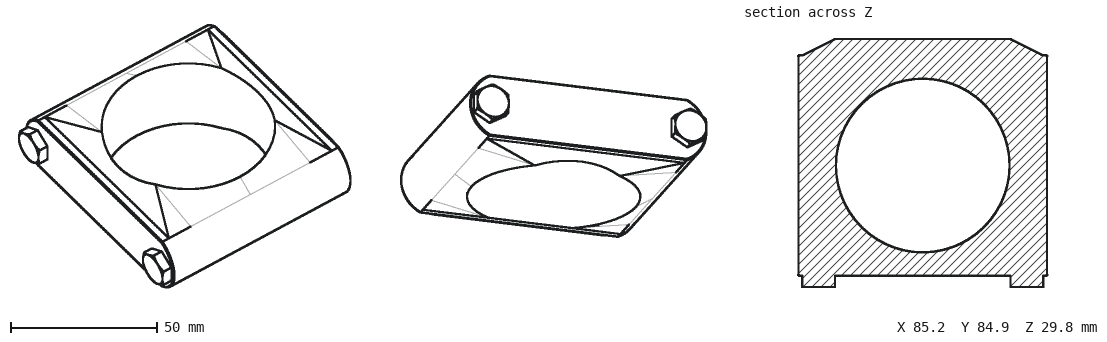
import cadquery as cq
import math

half_width = 42.6
half_length = 37.8
half_plate = 11.1
half_height = 14.9
bolt_x = 35.6
edge_chamfer = 0.3

bore_radius = 29.7
collar_y = 34.7
collar_top_y = 25.4
collar_top_x = math.sqrt(bore_radius**2 - collar_top_y**2)

head_flats = 11.25
head_height = 3.8
head_taper_angle = 30.0

ridge_x = 30.1
ridge_radius = half_plate
ridge_y = 43.3


def make_body():
    """Flat-sided bar with round ends, running along Y."""
    return (
        cq.Workplane("XZ", origin=(0, half_length, 0))
        .moveTo(-bolt_x, half_plate)
        .lineTo(bolt_x, half_plate)
        .threePointArc((half_width, 0), (bolt_x, -half_plate))
        .lineTo(-bolt_x, -half_plate)
        .threePointArc((-half_width, 0), (-bolt_x, half_plate))
        .close()
        .extrude(2 * half_length)
        .faces("<Y or >Y")
        .chamfer(edge_chamfer)
    )


def polygon_face(points):
    return cq.Face.makeFromWires(cq.Wire.makePolygon(points, close=True))


def collar_quarter_side(side, end):
    """Faces of one collar quarter, and its arc along the bore."""
    crest = cq.Vector(side * collar_top_x, end * collar_top_y, half_height)
    middle = cq.Vector(side * bore_radius, 0, half_height)
    arc_angle = math.atan2(collar_top_y, collar_top_x) / 2
    arc_middle = cq.Vector(
        side * bore_radius * math.cos(arc_angle),
        end * bore_radius * math.sin(arc_angle),
        half_height,
    )
    foot_middle = cq.Vector(side * bolt_x, 0, half_plate)
    foot_crest = cq.Vector(side * bolt_x, end * collar_top_y, half_plate)
    foot_corner = cq.Vector(side * bolt_x, end * collar_y, half_plate)
    arc = cq.Edge.makeThreePointArc(middle, arc_middle, crest)
    foot = cq.Edge.makeLine(foot_middle, foot_crest)
    blend = cq.Face.makeRuledSurface(arc, foot)
    corner = polygon_face([foot_crest, foot_corner, crest])
    return [blend, corner], arc


def make_collar():
    """Upper collar: sloping ends, flat corners and ruled blends from the sides to the bore circle."""
    faces = []
    top_edges = []
    for side in (-1, 1):
        for end in (-1, 1):
            quarter_faces, arc = collar_quarter_side(side, end)
            faces += quarter_faces
            top_edges.append(arc)
    for end in (-1, 1):
        crests = [cq.Vector(s * collar_top_x, end * collar_top_y, half_height) for s in (-1, 1)]
        corners = [cq.Vector(s * bolt_x, end * collar_y, half_plate) for s in (1, -1)]
        faces.append(polygon_face(crests + corners))
        top_edges.append(cq.Edge.makeLine(*crests))
    top_outline = cq.Wire.combine(top_edges)[0]
    faces.append(cq.Face.makeFromWires(top_outline))
    base_y = (-collar_y, -collar_top_y, 0, collar_top_y, collar_y)
    base = [cq.Vector(bolt_x, y, half_plate) for y in base_y]
    base += [cq.Vector(-bolt_x, y, half_plate) for y in reversed(base_y)]
    faces.append(polygon_face(base))
    return cq.Workplane(cq.Solid.makeSolid(cq.Shell.makeShell(faces)))


def make_ridge():
    """Triangular roof along X, closed by a cone at each end."""
    ridge = (
        cq.Workplane("YZ", origin=(-ridge_x, 0, 0))
        .polyline([(half_length, -ridge_radius), (ridge_y, 0), (half_length, ridge_radius)])
        .close()
        .extrude(2 * ridge_x)
    )
    for side in (-1, 1):
        cone = cq.Solid.makeCone(
            ridge_radius, 0, ridge_y - half_length,
            pnt=cq.Vector(side * ridge_x, half_length, 0), dir=cq.Vector(0, 1, 0),
        )
        ridge = ridge.union(cone)
    return ridge


def make_bolt_head(x):
    """Hexagon with upright flats at its sides, its corners tapered at the free end."""
    corner_diameter = head_flats / math.cos(math.pi / 6)
    head = (
        cq.Workplane("XZ", origin=(x, -half_length, 0))
        .transformed(rotate=(0, 0, 90))
        .polygon(6, corner_diameter)
        .extrude(head_height)
    )
    cone_rise = head_height / math.tan(math.radians(head_taper_angle))
    taper = cq.Solid.makeCone(
        head_flats / 2 + cone_rise, head_flats / 2, head_height,
        pnt=cq.Vector(x, -half_length, 0), dir=cq.Vector(0, -1, 0),
    )
    return head.intersect(cq.Workplane(taper))


def make_bore():
    """Cylinder that opens the bore through both collars."""
    return (
        cq.Workplane("XY", origin=(0, 0, -half_height))
        .circle(bore_radius)
        .extrude(2 * half_height)
    )


collar = make_collar()
result = make_body().union(collar).union(collar.mirror("XY")).union(make_ridge())
result = result.cut(make_bore())
for side in (-1, 1):
    result = result.union(make_bolt_head(side * bolt_x))